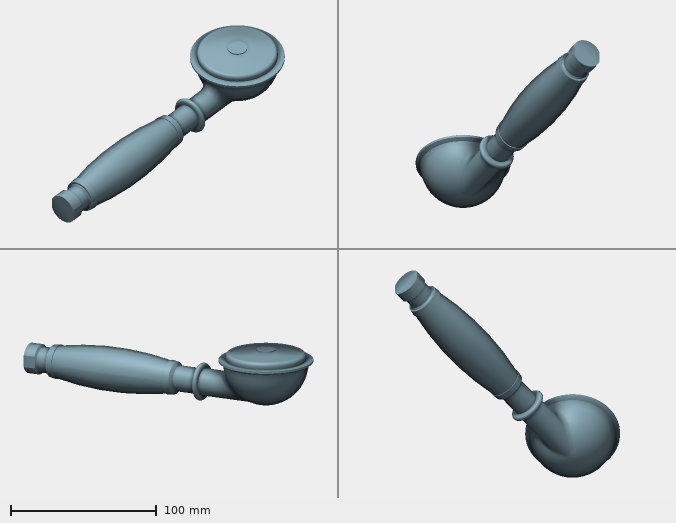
import cadquery as cq
import math


total_length = 214.7
rim_diameter = 65.0
rim_radius = rim_diameter / 2
head_y = total_length - rim_radius
bowl_bottom_z = -9.7
bowl_top_z = 15.7
bowl_radius = 29.0
bowl_lip_radius = 29.8
rim_bottom_z = 19.0
rim_split_z = 20.6
rim_top_z = 22.1

plate_radius = 27.7
plate_fillet = 2.5
plate_edge_z = 26.8
plate_center_z = 28.5
button_radius = 6.7
button_top_z = 29.5

neck_radius = 9.5
neck_blend = 4.7
bead_radius = 13.0
bead_y = 133.0
bead_width = 3.6

stem_radius = 9.0
collar_radius = 12.0
collar_outer_radius = 11.4
grip_front_y = 108.2
grip_rear_y = 22.5
grip_end_radius = 11.4
grip_middle_radius = 15.5
front_collar_length = 4.5
front_shoulder_length = 2.1
rear_collar_length = 4.7
rear_shoulder_radius = 10.0
rear_shoulder_length = 1.0

end_radius = 10.5
end_length = 8.4
end_chamfer = 1.0
end_flat_width = 19.3


def turn_about_head_axis(profile):
    """Revolve an XZ profile (x = radius) and move it to the head centre."""
    solid = profile.close().revolve(360, (0, 0, 0), (0, 1, 0))
    return solid.translate((0, head_y, 0))


def turn_about_handle_axis(profile):
    """Revolve an XY profile (x = radius) about the Y axis."""
    return profile.close().revolve(360, (0, 0, 0), (0, 1, 0))


def make_face_plate():
    corner_x = plate_radius - plate_fillet
    corner_z = plate_edge_z - plate_fillet
    fillet_reach = plate_fillet * math.sqrt(0.5)
    profile = (
        cq.Workplane("XZ")
        .moveTo(0, rim_split_z)
        .lineTo(rim_radius, rim_split_z)
        .lineTo(rim_radius, rim_top_z)
        .lineTo(plate_radius, rim_top_z)
        .lineTo(plate_radius, corner_z)
        .threePointArc((corner_x + fillet_reach, corner_z + fillet_reach), (corner_x, plate_edge_z))
        .lineTo(button_radius, plate_center_z)
        .lineTo(button_radius, button_top_z)
        .lineTo(0, button_top_z)
    )
    return turn_about_head_axis(profile)


def make_bowl():
    depth = bowl_top_z - bowl_bottom_z
    sphere_radius = (bowl_radius ** 2 + depth ** 2) / (2 * depth)
    reach = sphere_radius * math.sqrt(0.5)
    sphere_z = bowl_bottom_z + sphere_radius
    profile = (
        cq.Workplane("XZ")
        .moveTo(0, bowl_bottom_z)
        .threePointArc((reach, sphere_z - reach), (bowl_radius, bowl_top_z))
        .lineTo(bowl_lip_radius, rim_bottom_z)
        .lineTo(rim_radius, rim_split_z)
        .lineTo(0, rim_split_z)
    )
    return turn_about_head_axis(profile)


def make_blended_head():
    """Bowl and neck, with a fillet where the neck leaves the bowl."""
    bowl = make_bowl().rotate((0, head_y, 0), (0, head_y, 1), 90)
    neck = cq.Workplane("XZ", origin=(0, bead_y, 0)).circle(neck_radius).extrude(bead_y - head_y)
    return bowl.union(neck).edges("not(%LINE or %CIRCLE)").fillet(neck_blend)


def make_stem():
    """Bead, stem, both collars and the connection end as one turned piece."""
    bead_front = bead_y + bead_width / 2
    bead_rear = bead_y - bead_width / 2
    bead_side_radius = bead_radius - bead_width / 2
    front_collar_y = grip_front_y + front_collar_length
    rear_collar_y = grip_rear_y - rear_collar_length
    profile = (
        cq.Workplane("XY")
        .moveTo(0, bead_front)
        .lineTo(bead_side_radius, bead_front)
        .threePointArc((bead_radius, bead_y), (bead_side_radius, bead_rear))
        .lineTo(stem_radius, bead_rear)
        .lineTo(stem_radius, front_collar_y + front_shoulder_length)
        .lineTo(collar_outer_radius, front_collar_y)
        .lineTo(collar_radius, grip_front_y)
        .lineTo(stem_radius, grip_front_y)
        .lineTo(stem_radius, grip_rear_y)
        .lineTo(collar_radius, grip_rear_y)
        .lineTo(collar_outer_radius, rear_collar_y)
        .lineTo(rear_shoulder_radius, rear_collar_y)
        .lineTo(stem_radius, rear_collar_y - rear_shoulder_length)
        .lineTo(stem_radius, end_length + end_chamfer)
        .lineTo(end_radius, end_length)
        .lineTo(end_radius, 0)
        .lineTo(0, 0)
    )
    stem = turn_about_handle_axis(profile)
    flat_length = end_length + end_chamfer
    flat_envelope = cq.Workplane("XY").box(end_flat_width, flat_length, 2 * end_radius)
    end_blank = cq.Workplane("XY").box(3 * end_radius, flat_length, 3 * end_radius)
    waste = end_blank.cut(flat_envelope).translate((0, flat_length / 2, 0))
    return stem.cut(waste)


def make_shower_body():
    return make_blended_head().union(make_stem())


def make_grip():
    """Barrel-shaped sleeve around the stem."""
    middle_y = (grip_front_y + grip_rear_y) / 2
    profile = (
        cq.Workplane("XY")
        .moveTo(stem_radius, grip_rear_y)
        .lineTo(grip_end_radius, grip_rear_y)
        .threePointArc((grip_middle_radius, middle_y), (grip_end_radius, grip_front_y))
        .lineTo(stem_radius, grip_front_y)
    )
    return turn_about_handle_axis(profile)


face_plate = make_face_plate()
shower_body = make_shower_body()
grip = make_grip()

result = cq.Compound.makeCompound([face_plate.val(), shower_body.val(), grip.val()])